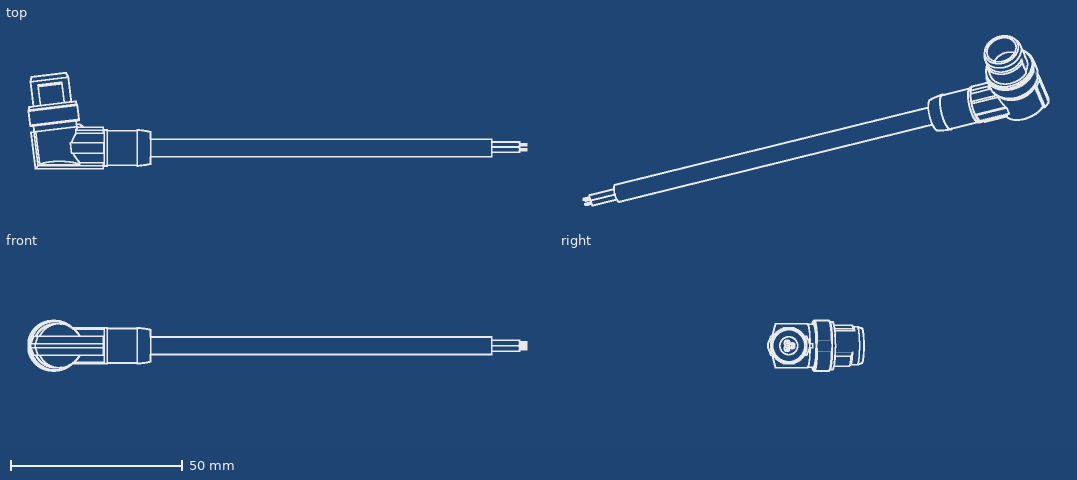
import cadquery as cq
import math


PLUG_TILT = 7.0

CABLE_RADIUS = 2.6
WIRE_RADIUS = 0.83
CONDUCTOR_RADIUS = 0.28
WIRE_COUNT = 3
CONDUCTOR_END = 137.03
CONDUCTOR_BARE_LENGTH = 2.1
WIRE_BARE_LENGTH = 8.1
WIRE_END = CONDUCTOR_END - CONDUCTOR_BARE_LENGTH
CABLE_END = WIRE_END - WIRE_BARE_LENGTH

SLEEVE_RADIUS = 5.1
SLEEVE_BEAD_RADIUS = 5.3
BEAD_START = 13.6
BEAD_END = 14.4
SLEEVE_TIP_START = 23.2
SLEEVE_END = 27.1
SLEEVE_TIP_MID_RADIUS = 5.1
SLEEVE_TIP_RADIUS = 4.7

BODY_RADIUS = 6.45
BODY_TOP = 5.5
NECK_RADIUS = 6.3
ROOF_INNER_DEPTH = 4.85
ROOF_OUTER_DEPTH = 3.9

RIDGE_HALF_WIDTH = 2.8
RIDGE_CREST_HALF_WIDTH = 0.6
RIDGE_FLANK_DROP = 0.9
CABLE_RIDGE_HEIGHT = 6.1
PLUG_RIDGE_HEIGHT = 7.25
RIDGE_END = 13.3
GUSSET_END = 7.6
GUSSET_HEIGHT = 7.0

PAD_START = 3.1
PAD_END = 13.4
PAD_HALF_WIDTH = 1.5
PAD_HEIGHT = 5.2

COLLAR_RADIUS = 7.395
COLLAR_BOTTOM = 7.25
COLLAR_TOP = 12.0
COLLAR_CHAMFER = 0.3
COLLAR_FLAT_HALF_WIDTH = 1.6
COLLAR_STEP_RADIUS = 7.0
COLLAR_STEP_TOP = 12.9

NOSE_RADIUS = 5.6
NOSE_RIM_RADIUS = 5.1
NOSE_END = 21.55
NOSE_TAPER_LENGTH = 1.4
NOSE_TAPER_START = NOSE_END - NOSE_TAPER_LENGTH
SOCKET_RADIUS = 4.4
SOCKET_DEPTH = 7.0
LOCK_RADIUS = 6.05
LOCK_CHAMFER = 0.5
UPPER_LOCK_HALF_WIDTH = 3.5
LOWER_LOCK_HALF_WIDTH = 5.25
UPPER_LOCK_END = 19.0
LOWER_LOCK_END = 18.2


def cylinder_x(radius, start, end, y=0.0, z=0.0):
    """Cylinder along the cable axis from x = start to x = end."""
    return cq.Workplane("YZ", origin=(start, y, z)).circle(radius).extrude(end - start)


def cylinder_y(radius, start, end):
    """Cylinder along +Y from y = start to y = end."""
    return cq.Workplane("XZ", origin=(0, start, 0)).circle(radius).extrude(start - end)


def box_between(x_range, y_range, z_range):
    """Axis-aligned box given by its limits."""
    corner = (x_range[0], y_range[0], z_range[0])
    size = [limits[1] - limits[0] for limits in (x_range, y_range, z_range)]
    return cq.Workplane("XY").box(*size, centered=False).translate(corner)


def lean(shape):
    """Tilt a shape built along +Y onto the plug axis."""
    return shape.rotate((0, 0, 0), (0, 0, 1), PLUG_TILT)


def ridge(height, start, end):
    """Ridge along X whose crest faces -Y, filled in down to the X axis."""
    shoulder = RIDGE_FLANK_DROP - height
    return (
        cq.Workplane("YZ", origin=(start, 0, 0))
        .polyline([
            (0, -RIDGE_HALF_WIDTH),
            (shoulder, -RIDGE_HALF_WIDTH),
            (-height, -RIDGE_CREST_HALF_WIDTH),
            (-height, RIDGE_CREST_HALF_WIDTH),
            (shoulder, RIDGE_HALF_WIDTH),
            (0, RIDGE_HALF_WIDTH),
        ])
        .close()
        .extrude(end - start)
    )


def underside_envelope():
    """Everything above the two sloped underside faces and the ridge below them."""
    reach = 2 * COLLAR_RADIUS
    slope = (ROOF_INNER_DEPTH - ROOF_OUTER_DEPTH) / (BODY_RADIUS - RIDGE_HALF_WIDTH)
    edge_depth = ROOF_INNER_DEPTH - slope * (reach - RIDGE_HALF_WIDTH)
    roof = (
        cq.Workplane("YZ", origin=(-reach, 0, 0))
        .polyline([
            (reach, -reach),
            (-edge_depth, -reach),
            (-ROOF_INNER_DEPTH, -RIDGE_HALF_WIDTH),
            (-ROOF_INNER_DEPTH, RIDGE_HALF_WIDTH),
            (-edge_depth, reach),
            (reach, reach),
        ])
        .close()
        .extrude(2 * reach)
    )
    return roof.union(ridge(CABLE_RIDGE_HEIGHT, -reach, reach))


def make_elbow():
    """Body around the plug axis, with its back ridge and shaped underside."""
    overrun = 2 * BODY_RADIUS
    column = cylinder_y(BODY_RADIUS, -overrun, BODY_TOP)
    back_ridge = ridge(PLUG_RIDGE_HEIGHT, -BODY_TOP, overrun).rotate((0, 0, 0), (0, 0, 1), -90)
    return lean(column.union(back_ridge)).intersect(underside_envelope())


def make_sleeve():
    """Cable sleeve with its bead, rounded tip, grip ridges and flat pads."""
    sleeve = cylinder_x(SLEEVE_RADIUS, 0, SLEEVE_TIP_START)
    bead = cylinder_x(SLEEVE_BEAD_RADIUS, BEAD_START, BEAD_END)
    tip_middle = (SLEEVE_TIP_START + SLEEVE_END) / 2
    tip = (
        cq.Workplane("XY")
        .moveTo(SLEEVE_TIP_START, 0)
        .lineTo(SLEEVE_TIP_START, SLEEVE_BEAD_RADIUS)
        .threePointArc((tip_middle, SLEEVE_TIP_MID_RADIUS), (SLEEVE_END, SLEEVE_TIP_RADIUS))
        .lineTo(SLEEVE_END, 0)
        .close()
        .revolve(360, (0, 0, 0), (1, 0, 0))
    )
    lower_ridge = ridge(CABLE_RIDGE_HEIGHT, 0, RIDGE_END)
    upper_ridge = lower_ridge.mirror("XZ")
    pads = box_between(
        (PAD_START, PAD_END),
        (-PAD_HALF_WIDTH, PAD_HALF_WIDTH),
        (-PAD_HEIGHT, PAD_HEIGHT),
    )
    return sleeve.union(bead).union(tip).union(lower_ridge).union(upper_ridge).union(pads)


def make_gusset():
    """Small wedge that joins the crest of the upper ridge to the neck."""
    return (
        cq.Workplane("XY", origin=(0, 0, -RIDGE_CREST_HALF_WIDTH))
        .polyline([
            (0, 0),
            (0, GUSSET_HEIGHT),
            (NECK_RADIUS, GUSSET_HEIGHT),
            (GUSSET_END, CABLE_RIDGE_HEIGHT),
            (GUSSET_END, 0),
        ])
        .close()
        .extrude(2 * RIDGE_CREST_HALF_WIDTH)
    )


def make_collar():
    """Coupling collar with a flat on each side and a step toward the nose."""
    ring = cylinder_y(COLLAR_RADIUS, COLLAR_BOTTOM, COLLAR_TOP).edges().chamfer(COLLAR_CHAMFER)
    flat_distance = math.sqrt(COLLAR_RADIUS**2 - COLLAR_FLAT_HALF_WIDTH**2)
    between_flats = box_between(
        (-flat_distance, flat_distance),
        (COLLAR_BOTTOM, COLLAR_TOP),
        (-COLLAR_RADIUS, COLLAR_RADIUS),
    )
    step = cylinder_y(COLLAR_STEP_RADIUS, COLLAR_TOP, COLLAR_STEP_TOP)
    neck = cylinder_y(NECK_RADIUS, BODY_TOP, COLLAR_BOTTOM)
    return ring.intersect(between_flats).union(step).union(neck)


def locking_pad(half_width, end, side):
    """Raised pad on the nose, on top (side = 1) or underneath (side = -1)."""
    drum = cylinder_y(LOCK_RADIUS, COLLAR_TOP, end).faces(">Y").edges().chamfer(LOCK_CHAMFER)
    z_range = sorted((0, side * LOCK_RADIUS))
    return drum.intersect(box_between((-half_width, half_width), (COLLAR_TOP, end), z_range))


def make_nose():
    """Plug nose with a tapered rim, two locking pads and an open socket."""
    nose = (
        cq.Workplane("XY")
        .polyline([
            (0, COLLAR_TOP),
            (NOSE_RADIUS, COLLAR_TOP),
            (NOSE_RADIUS, NOSE_TAPER_START),
            (NOSE_RIM_RADIUS, NOSE_END),
            (0, NOSE_END),
        ])
        .close()
        .revolve(360, (0, 0, 0), (0, 1, 0))
    )
    upper_pad = locking_pad(UPPER_LOCK_HALF_WIDTH, UPPER_LOCK_END, 1)
    lower_pad = locking_pad(LOWER_LOCK_HALF_WIDTH, LOWER_LOCK_END, -1)
    socket = cylinder_y(SOCKET_RADIUS, NOSE_END - SOCKET_DEPTH, NOSE_END)
    return nose.union(upper_pad).union(lower_pad).cut(socket)


def make_cable():
    """Cable jacket with three bundled wires, each baring a conductor."""
    cable = cylinder_x(CABLE_RADIUS, SLEEVE_TIP_START, CABLE_END)
    bundle_radius = 2 * WIRE_RADIUS / math.sqrt(3)
    for index in range(WIRE_COUNT):
        angle = 2 * math.pi * index / WIRE_COUNT
        y = bundle_radius * math.cos(angle)
        z = bundle_radius * math.sin(angle)
        cable = cable.union(cylinder_x(WIRE_RADIUS, SLEEVE_END, WIRE_END, y, z))
        cable = cable.union(cylinder_x(CONDUCTOR_RADIUS, SLEEVE_END, CONDUCTOR_END, y, z))
    return cable


plug = lean(make_collar().union(make_nose()))
result = make_elbow().union(make_sleeve()).union(make_gusset()).union(plug).union(make_cable())